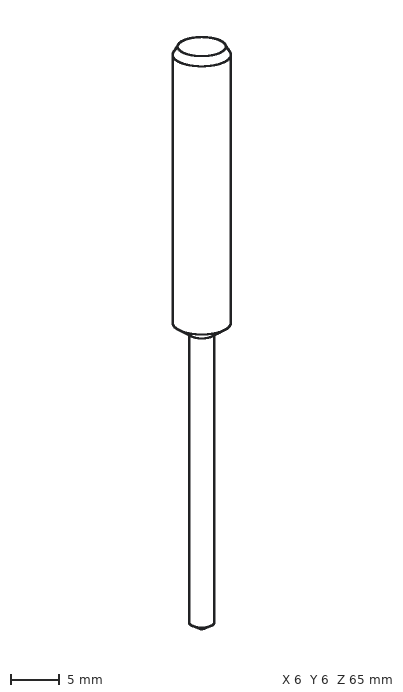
import cadquery as cq
import math

TOTAL_LENGTH = 65
SHANK_RADIUS = 3.0
SHANK_CYLINDER_BOTTOM = 34.2
TOP_CHAMFER_HEIGHT = 0.9
TOP_CHAMFER_WIDTH = 0.5
STEM_RADIUS = 1.3
SHOULDER_HEIGHT = 1.2
TIP_ANGLE = 118

TIP_HEIGHT = STEM_RADIUS / math.tan(math.radians(TIP_ANGLE / 2))
STEM_TOP = SHANK_CYLINDER_BOTTOM - SHOULDER_HEIGHT


def revolve_profile(points):
    """Turn a closed (radius, height) outline around the Z axis."""
    return cq.Workplane("XZ").polyline(points).close().revolve(360, (0, 0), (0, 1))


def make_shank():
    """Thick shank with a chamfered top and a conical shoulder down to the stem."""
    return revolve_profile([
        (0, STEM_TOP),
        (STEM_RADIUS, STEM_TOP),
        (SHANK_RADIUS, SHANK_CYLINDER_BOTTOM),
        (SHANK_RADIUS, TOTAL_LENGTH - TOP_CHAMFER_HEIGHT),
        (SHANK_RADIUS - TOP_CHAMFER_WIDTH, TOTAL_LENGTH),
        (0, TOTAL_LENGTH),
    ])


def make_stem():
    """Slender stem with a conical drill point, butting against the shank."""
    return revolve_profile([
        (0, 0),
        (STEM_RADIUS, TIP_HEIGHT),
        (STEM_RADIUS, STEM_TOP),
        (0, STEM_TOP),
    ])


shank = make_shank()
stem = make_stem()

result = cq.Compound.makeCompound([shank.val(), stem.val()])